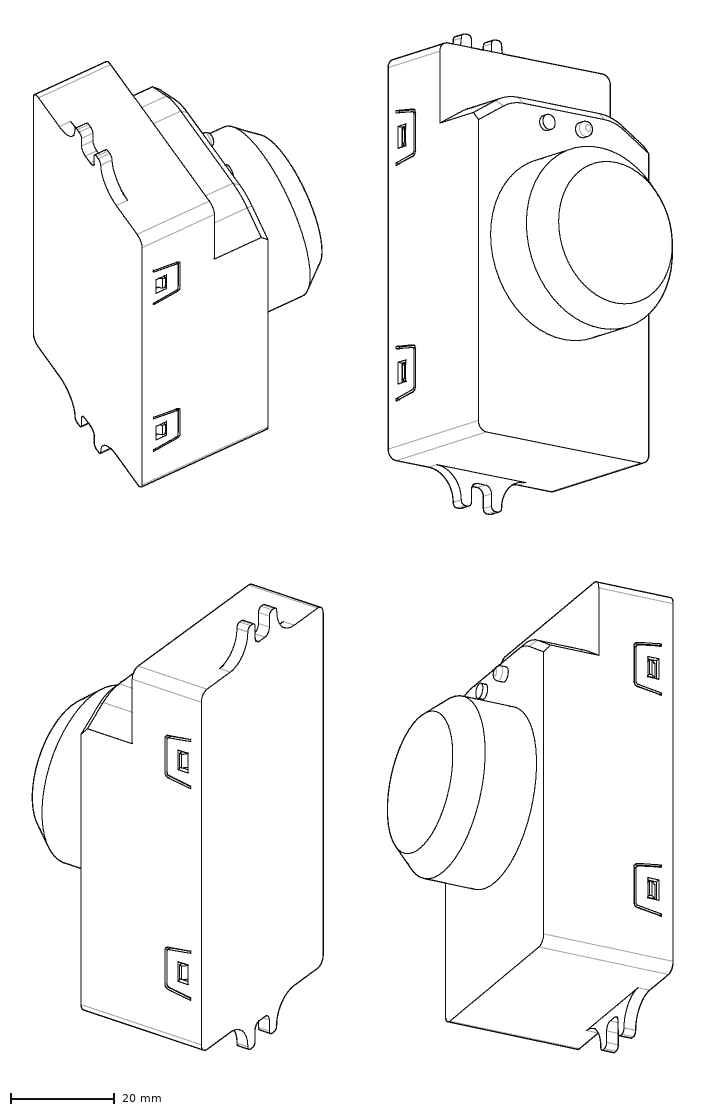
import cadquery as cq
import math

WIDTH = 42.0
BODY_HEIGHT = 80.0
BODY_DEPTH = 28.0
CORNER_RADIUS = 2.0

STEP_DEPTH = 16.1
SHOULDER_TOP = 28.5
SHOULDER_FLAT_HALF = 10.1
SHOULDER_SLOPE = math.radians(31)
SHOULDER_ROUND = 10.7
SHOULDER_CHAMFER = 1.5

DOME_DIAMETER = 36.0
DOME_TIP_RADIUS = 14.0
DOME_TIP_DEPTH = 44.1
DOME_TAPER_LENGTH = 5.0
DOME_CENTER_Z = -0.5

KNOB_DIAMETER = 3.0
KNOB_SPACING = 8.8
KNOB_Z = 24.0
BUTTON_HEIGHT = 1.0
LIGHT_HEIGHT = 2.1
LIGHT_ROUND = 0.8

OVERALL_HEIGHT = 94.0
TAB_THICKNESS = 2.5
TAB_HALF_WIDTH = 5.0
TAB_SLOT_HALF = 2.4
TAB_SLOT_BOTTOM = 42.1
TAB_SLOT_ROUND = 1.5
TAB_TIP_ROUND = 0.9
TAB_FLARE_RADIUS = 6.0

CLIP_Z = 23.5
GROOVE_WIDTH = 0.5
GROOVE_DEPTH = 0.75
GROOVE_FAR_Y = 8.5
GROOVE_FAR_HALF = 4.6
GROOVE_NEAR_HALF = 5.45
GROOVE_ROUND = 0.9
WINDOW_NEAR_Y = 3.1
WINDOW_FAR_Y = 5.45
WINDOW_HALF = 2.2
WINDOW_DEPTH = 1.0
HOOK_END_GAP = 0.7
HOOK_SIDE_GAP = 0.33
HOOK_FLAT = 0.6


def sketch_at(depth):
    """Sketch plane parallel to the back, with local axes X and Z."""
    return cq.Workplane("XZ", origin=(0, depth, 0))


def box(low, high):
    """Axis-aligned block between two opposite corners."""
    size = [b - a for a, b in zip(low, high)]
    return cq.Workplane("XY").box(*size, centered=False).translate(low)


def shoulder_block():
    """Front part of the housing: flat top, rounded shoulders and sloping ends, chamfered in front."""
    half = WIDTH / 2
    bottom = -BODY_HEIGHT / 2

    def round_point(angle):
        x = SHOULDER_FLAT_HALF + SHOULDER_ROUND * math.sin(angle)
        z = SHOULDER_TOP - SHOULDER_ROUND * (1 - math.cos(angle))
        return x, z

    mid_x, mid_z = round_point(SHOULDER_SLOPE / 2)
    end_x, end_z = round_point(SHOULDER_SLOPE)
    side_z = end_z - (half - end_x) * math.tan(SHOULDER_SLOPE)
    block = (
        sketch_at(STEP_DEPTH)
        .moveTo(-half, bottom)
        .lineTo(-half, side_z)
        .lineTo(-end_x, end_z)
        .threePointArc((-mid_x, mid_z), (-SHOULDER_FLAT_HALF, SHOULDER_TOP))
        .lineTo(SHOULDER_FLAT_HALF, SHOULDER_TOP)
        .threePointArc((mid_x, mid_z), (end_x, end_z))
        .lineTo(half, side_z)
        .lineTo(half, bottom)
        .close()
        .extrude(STEP_DEPTH - BODY_DEPTH)
    )
    upper_front_edges = block.faces(">Y").edges("not(|Z or <Z)")
    block = upper_front_edges.chamfer(SHOULDER_CHAMFER)
    return block.edges("|Y and <Z").fillet(CORNER_RADIUS)


def housing():
    back_block = sketch_at(0).rect(WIDTH, BODY_HEIGHT).extrude(-STEP_DEPTH)
    back_block = back_block.edges("|Y").fillet(CORNER_RADIUS)
    return back_block.union(shoulder_block())


def dome():
    taper_start = DOME_TIP_DEPTH - DOME_TAPER_LENGTH
    radius = DOME_DIAMETER / 2
    profile = [
        (0, BODY_DEPTH),
        (radius, BODY_DEPTH),
        (radius, taper_start),
        (DOME_TIP_RADIUS, DOME_TIP_DEPTH),
        (0, DOME_TIP_DEPTH),
    ]
    turned = cq.Workplane("XY").polyline(profile).close().revolve(360, (0, 0), (0, 1))
    return turned.translate((0, 0, DOME_CENTER_Z))


def knob(x, height):
    return sketch_at(BODY_DEPTH).center(x, KNOB_Z).circle(KNOB_DIAMETER / 2).extrude(-height)


def mounting_tab():
    """Upper tab: two prongs around a slot, flaring tangentially into the end of the housing."""
    top = OVERALL_HEIGHT / 2
    root = BODY_HEIGHT / 2
    flare_end = TAB_HALF_WIDTH + TAB_FLARE_RADIUS
    flare_top = root + TAB_FLARE_RADIUS
    buried = root - CORNER_RADIUS
    tab = (
        sketch_at(0)
        .moveTo(-flare_end, buried)
        .lineTo(-flare_end, root)
        .radiusArc((-TAB_HALF_WIDTH, flare_top), -TAB_FLARE_RADIUS)
        .lineTo(-TAB_HALF_WIDTH, top)
        .lineTo(TAB_HALF_WIDTH, top)
        .lineTo(TAB_HALF_WIDTH, flare_top)
        .radiusArc((flare_end, root), -TAB_FLARE_RADIUS)
        .lineTo(flare_end, buried)
        .close()
        .extrude(-TAB_THICKNESS)
    )
    slot = box((-TAB_SLOT_HALF, 0, TAB_SLOT_BOTTOM), (TAB_SLOT_HALF, TAB_THICKNESS, top))
    slot = slot.edges("|Y and <Z").fillet(TAB_SLOT_ROUND)
    tab = tab.cut(slot)
    return tab.faces(">Z").edges("|Y").fillet(TAB_TIP_ROUND)


def clip_tongue(z, inset, round_radius):
    """Thin trapezoid on the -X wall, its three outer sides moved inward by the inset."""
    far_y = GROOVE_FAR_Y - inset
    far_half = GROOVE_FAR_HALF - inset
    near_half = GROOVE_NEAR_HALF - inset
    outline = [
        (TAB_THICKNESS, z - near_half),
        (far_y, z - far_half),
        (far_y, z + far_half),
        (TAB_THICKNESS, z + near_half),
    ]
    plate = cq.Workplane("YZ", origin=(-WIDTH / 2, 0, 0)).polyline(outline).close().extrude(GROOVE_DEPTH)
    return plate.edges("|X and >Y").fillet(round_radius)


def clip_recess(z):
    """U-shaped groove and the window around a snap hook, to be removed from the -X wall."""
    wall = -WIDTH / 2
    floor = wall + WINDOW_DEPTH
    groove = clip_tongue(z, 0, GROOVE_ROUND).cut(clip_tongue(z, GROOVE_WIDTH, GROOVE_ROUND - GROOVE_WIDTH))
    window = box((wall, WINDOW_NEAR_Y, z - WINDOW_HALF), (floor, WINDOW_FAR_Y, z + WINDOW_HALF))

    hook_near = WINDOW_NEAR_Y + HOOK_SIDE_GAP
    hook_far = WINDOW_FAR_Y - HOOK_SIDE_GAP
    hook_half = WINDOW_HALF - HOOK_END_GAP
    hook_profile = [
        (floor, hook_near),
        (wall, hook_far - HOOK_FLAT),
        (wall, hook_far),
        (floor, hook_far),
    ]
    hook = (
        cq.Workplane("XY", origin=(0, 0, z - hook_half))
        .polyline(hook_profile)
        .close()
        .extrude(2 * hook_half)
    )
    return groove.union(window.cut(hook))


light = knob(-KNOB_SPACING / 2, LIGHT_HEIGHT).faces(">Y").edges().fillet(LIGHT_ROUND)
button = knob(KNOB_SPACING / 2, BUTTON_HEIGHT)
upper_tab = mounting_tab()

result = housing().union(dome()).union(light).union(button)
result = result.union(upper_tab).union(upper_tab.mirror("XY"))
for clip_z in (-CLIP_Z, CLIP_Z):
    recess = clip_recess(clip_z)
    result = result.cut(recess).cut(recess.mirror("YZ"))